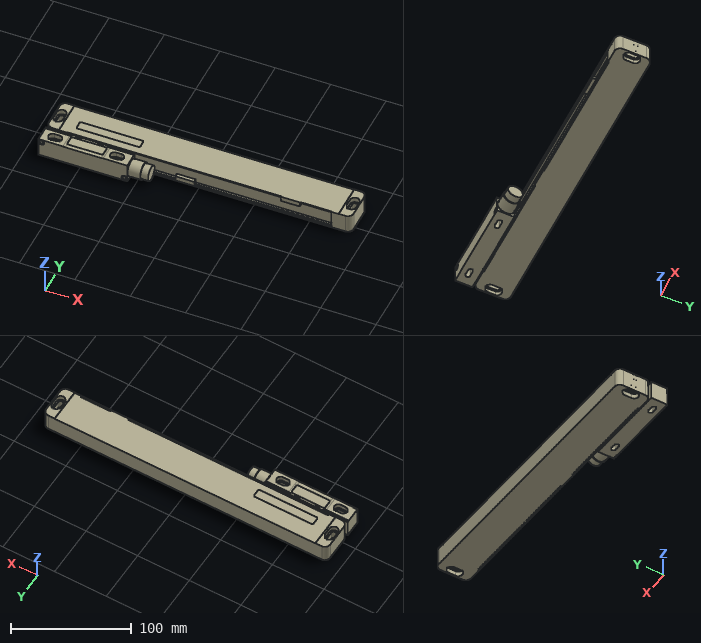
import cadquery as cq
height = 18.0
counterbore_depth = 5.0

bar_length = 275.0
bar_front = 16.8
bar_back = 49.0
bar_corner_radius = 5.2
bar_slot_spacing = 6.5
bar_slot_width = 5.0
bar_counterbore_width = 8.2
bar_slot_end_distance = 5.2
bar_end_length = 11.3
bar_end_rise = 0.3

channel_end_margin = 18.0
channel_depth = 3.3
lip_thickness = 1.6
lip_front_thickness = 0.8
lip_step_depth = 1.0
tab_height = 5.0
lower_tab_left = 116.3
upper_tab_left = 211.5
tab_length = 17.0

bar_label_left = 23.5
bar_label_front = 24.8
bar_label_length = 57.5
bar_label_width = 8.2
bar_label_corner_radius = 1.5
label_depth = 0.15

head_length = 80.3
head_width = 16.0
pad_rise = 0.3
pad_back = 14.3
pad_length = 22.0
pad_ramp = 2.0
head_slot_y = 7.2
head_slot_xs = (12.0, 68.0)
head_slot_spacing = 4.7
head_slot_width = 4.0
head_counterbore_width = 7.5
head_label_front = 4.0
head_label_width = 9.4
head_label_corner_radius = 1.0

dimple_radius = 2.5
dimple_step = 0.3
dimple_cone_radius = 1.6
dimple_cone_depth = 0.8
dimple_edge_distance = 2.8
back_notch_lefts = (27.5, 47.3)
back_notch_width = 4.5
back_notch_depth = 1.0
back_notch_height = 1.5

outlet_y = 8.2
outlet_z = 8.8
outlet_radius = 7.7
outlet_length = 11.3
sleeve_radius = 7.0
sleeve_length = 7.0


def box(x, y, z, length, width, tall):
    """Box given by its lowest corner and its sizes."""
    return cq.Workplane("XY").box(length, width, tall, centered=False).translate((x, y, z))


def slot(x, y, z, spacing, width, depth, angle):
    """Upright round-ended slot; spacing is the distance between its end centres."""
    return (
        cq.Workplane("XY", origin=(x, y, z))
        .slot2D(spacing + width, width, angle)
        .extrude(depth)
    )


def make_channel():
    """Front channel of the bar with its lips and the two tabs left standing."""
    channel_back = bar_front + channel_depth
    step_back = bar_front + lip_step_depth
    profile = [
        (bar_front, lip_front_thickness),
        (step_back, lip_front_thickness),
        (step_back, lip_thickness),
        (channel_back, lip_thickness),
        (channel_back, height - lip_thickness),
        (step_back, height - lip_thickness),
        (step_back, height - lip_front_thickness),
        (bar_front, height - lip_front_thickness),
    ]
    channel = (
        cq.Workplane("YZ", origin=(channel_end_margin, 0, 0))
        .polyline(profile).close()
        .extrude(bar_length - 2 * channel_end_margin)
    )
    lower_tab = box(lower_tab_left, bar_front, 0, tab_length, channel_depth, tab_height)
    upper_tab = box(
        upper_tab_left, bar_front, height - tab_height, tab_length, channel_depth, tab_height
    )
    return channel.cut(lower_tab).cut(upper_tab)


def make_bar():
    bar_width = bar_back - bar_front
    bar_middle = (bar_front + bar_back) / 2
    bar = box(0, bar_front, 0, bar_length, bar_width, height).edges("|Z").fillet(bar_corner_radius)
    bar = bar.cut(make_channel())

    middle_length = bar_length - 2 * bar_end_length
    middle_top = height - bar_end_rise
    bar = bar.cut(box(bar_end_length, bar_front, middle_top, middle_length, bar_width, bar_end_rise))

    for x in (bar_slot_end_distance, bar_length - bar_slot_end_distance):
        bar = bar.cut(slot(x, bar_middle, 0, bar_slot_spacing, bar_slot_width, height, 90))
        for z in (0, height - counterbore_depth):
            bar = bar.cut(
                slot(x, bar_middle, z, bar_slot_spacing, bar_counterbore_width, counterbore_depth, 90)
            )

    label = box(
        bar_label_left, bar_label_front, middle_top - label_depth,
        bar_label_length, bar_label_width, label_depth,
    ).edges("|Z").fillet(bar_label_corner_radius)
    return bar.cut(label)


def make_pads(base_height):
    """Raised mounting pads at both ends of the head, each ramping down to the middle."""
    profile = [
        (0, base_height),
        (pad_length + pad_ramp, base_height),
        (pad_length, height),
        (0, height),
    ]
    left_pad = cq.Workplane("XZ").polyline(profile).close().extrude(-pad_back)
    right_pad = left_pad.mirror("YZ", (head_length / 2, 0, 0))
    return left_pad, right_pad


def make_dimple(x, z):
    """Shallow stepped dimple with a conical centre, sunk into the front face."""
    cone_end = dimple_step + dimple_cone_depth
    profile = [
        (0, 0),
        (dimple_radius, 0),
        (dimple_radius, dimple_step),
        (dimple_cone_radius, dimple_step),
        (0, cone_end),
    ]
    return (
        cq.Workplane("XY").polyline(profile).close()
        .revolve(360, (0, 0, 0), (0, 1, 0))
        .translate((x, 0, z))
    )


def make_head():
    base_height = height - pad_rise
    head = box(0, 0, 0, head_length, head_width, base_height)
    for pad in make_pads(base_height):
        head = head.union(pad)

    outlet = cq.Workplane("YZ", origin=(head_length, outlet_y, outlet_z))
    head = head.union(outlet.circle(outlet_radius).extrude(outlet_length))
    head = head.union(outlet.circle(sleeve_radius).extrude(outlet_length + sleeve_length))

    counterbore_floor = height - counterbore_depth
    for x in head_slot_xs:
        head = head.cut(slot(x, head_slot_y, 0, head_slot_spacing, head_slot_width, height, 0))
        head = head.cut(
            slot(x, head_slot_y, counterbore_floor,
                 head_slot_spacing, head_counterbore_width, counterbore_depth, 0)
        )

    label_left = pad_length + pad_ramp
    label = box(
        label_left, head_label_front, base_height - label_depth,
        head_length - 2 * label_left, head_label_width, label_depth,
    ).edges("|Z").fillet(head_label_corner_radius)
    head = head.cut(label)

    head = head.cut(make_dimple(dimple_edge_distance, height - dimple_edge_distance))
    head = head.cut(make_dimple(head_length - dimple_edge_distance, dimple_edge_distance))

    notch_front = head_width - back_notch_depth
    notch_floor = base_height - back_notch_height
    for x in back_notch_lefts:
        notch = box(
            x, notch_front, notch_floor, back_notch_width, back_notch_depth, back_notch_height
        )
        head = head.cut(notch)
    return head


bar = make_bar()
head = make_head()
result = cq.Compound.makeCompound([bar.val(), head.val()])